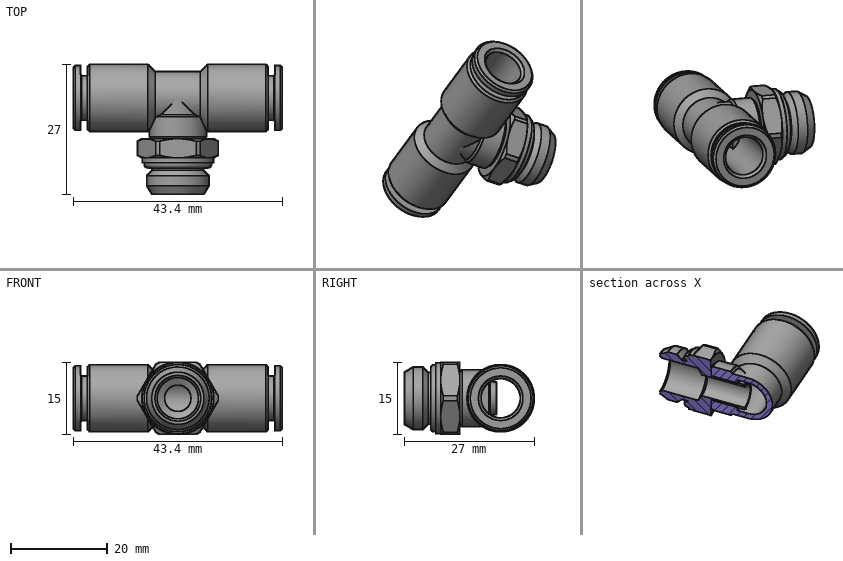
import cadquery as cq
import math


half_length = 21.7
tube_bore_radius = 4.05
tube_mouth_radius = 4.63
core_radius = 5.5
core_half_length = 4.7
sleeve_radius = 7.0
sleeve_inner_x = core_half_length + sleeve_radius - core_radius
sleeve_outer_x = 18.75
sleeve_chamfer = 0.5
collar_radius = 6.75
collar_chamfer = 0.45
collar_thickness = 1.55
collar_back_x = half_length - collar_thickness
collar_neck_radius = 4.65
collar_neck_flare = 0.2

branch_radius = 5.95
branch_step_y = 3.5
branch_straight_y = branch_step_y + branch_radius - core_radius
branch_chamfer = 0.45
branch_end_y = 8.47

floor_y = 2.5

hex_sides = 6
hex_across_flats = 15.0
hex_corner_radius = 8.4
hex_chamfer_angle = math.radians(30)
hex_start_y = branch_end_y
hex_end_y = 12.43
flange_radius = 7.4
flange_end_y = 13.47
seal_radius = 7.0
seal_straight_end_y = 13.74
groove_radius = 5.4
groove_end_y = 15.03
thread_radius = 6.5
thread_start_y = groove_end_y + thread_radius - groove_radius
thread_end_y = 18.17
stud_end_y = 20.0
stud_end_radius = 5.42

stem_radius = 3.17
lip_radius = 3.54
lip_underside_y = floor_y
lip_crest_y = lip_underside_y - (lip_radius - stem_radius)
lip_tip_radius = 3.39
stem_tip_y = 0.78
stem_tip_chamfer = 0.17

passage_radius = 2.74
socket_radius = 4.28
socket_mouth_radius = 4.75
socket_cone_start_y = 10.5
socket_cone_half_angle = math.radians(60)
socket_cone_length = (socket_radius - passage_radius) / math.tan(socket_cone_half_angle)
socket_cone_end_y = socket_cone_start_y + socket_cone_length


def turned_along_x(profile):
    """Revolve (x, radius) points about the X axis."""
    return cq.Workplane("XY").polyline(profile).close().revolve(360, (0, 0, 0), (1, 0, 0))


def turned_along_branch(profile):
    """Revolve (radius, distance towards -Y) points about the Y axis."""
    points = [(radius, -distance) for radius, distance in profile]
    return cq.Workplane("XY").polyline(points).close().revolve(360, (0, 0, 0), (0, 1, 0))


def run_outside():
    """Core with a sleeve and a release collar at each end."""
    half_profile = [
        (0, 0),
        (0, core_radius),
        (core_half_length, core_radius),
        (sleeve_inner_x, sleeve_radius),
        (sleeve_outer_x - sleeve_chamfer, sleeve_radius),
        (sleeve_outer_x, sleeve_radius - sleeve_chamfer),
        (sleeve_outer_x, collar_neck_radius),
        (collar_back_x - collar_neck_flare, collar_neck_radius),
        (collar_back_x, collar_neck_radius + collar_neck_flare),
        (collar_back_x, collar_radius),
        (half_length - collar_chamfer, collar_radius),
        (half_length, collar_radius - collar_chamfer),
        (half_length, 0),
    ]
    right_half = turned_along_x(half_profile)
    return right_half.union(right_half.mirror("YZ"))


def branch_outside():
    """Branch leaving the core at the core radius and stepping out to its own."""
    return turned_along_branch([
        (0, 0),
        (core_radius, 0),
        (core_radius, branch_step_y),
        (branch_radius, branch_straight_y),
        (branch_radius, branch_end_y - branch_chamfer),
        (branch_radius - branch_chamfer, branch_end_y),
        (0, branch_end_y),
    ])


def run_bore():
    """Through bore with chamfered mouths, flat-bottomed over the core."""
    mouth_x = half_length - (tube_mouth_radius - tube_bore_radius)
    bore = turned_along_x([
        (-half_length, 0),
        (-half_length, tube_mouth_radius),
        (-mouth_x, tube_bore_radius),
        (mouth_x, tube_bore_radius),
        (half_length, tube_mouth_radius),
        (half_length, 0),
    ])
    below_floor = cq.Workplane("XY").box(
        2 * core_half_length, sleeve_radius, 2 * sleeve_radius
    ).translate((0, -floor_y - sleeve_radius / 2, 0))
    return bore.cut(below_floor)


def stem_hole():
    """Hole through the floor for the stem, with room above it for the snap lip."""
    return turned_along_branch([
        (0, 0),
        (tube_bore_radius, 0),
        (tube_bore_radius, floor_y),
        (stem_radius, floor_y),
        (stem_radius, branch_end_y),
        (0, branch_end_y),
    ])


def make_tee():
    return run_outside().union(branch_outside()).cut(run_bore()).cut(stem_hole())


def stud_hex():
    """Hexagon with flats at +Z and -Z, its corners rounded off and chamfered."""
    flat_radius = hex_across_flats / 2
    chamfer_length = (hex_corner_radius - flat_radius) * math.tan(hex_chamfer_angle)
    hexagon = (
        cq.Workplane("XZ", origin=(0, -hex_start_y, 0))
        .polygon(hex_sides, hex_across_flats / math.cos(math.pi / hex_sides))
        .extrude(hex_end_y - hex_start_y)
    )
    corner_envelope = turned_along_branch([
        (0, hex_start_y),
        (flat_radius, hex_start_y),
        (hex_corner_radius, hex_start_y + chamfer_length),
        (hex_corner_radius, hex_end_y - chamfer_length),
        (flat_radius, hex_end_y),
        (0, hex_end_y),
    ])
    return hexagon.intersect(corner_envelope)


def stud_stem():
    """Stem ending in a snap lip that hooks over the floor of the tee."""
    return turned_along_branch([
        (0, stem_tip_y),
        (lip_tip_radius - stem_tip_chamfer, stem_tip_y),
        (lip_tip_radius, stem_tip_y + stem_tip_chamfer),
        (lip_radius, lip_crest_y),
        (stem_radius, lip_underside_y),
        (stem_radius, hex_start_y),
        (0, hex_start_y),
    ])


def stud_nose():
    """Flange, seal with a half-round front, relief groove and plain thread."""
    seal_rounding = (seal_radius - groove_radius) / 2
    return (
        cq.Workplane("XY")
        .moveTo(0, -hex_end_y)
        .lineTo(flange_radius, -hex_end_y)
        .lineTo(flange_radius, -flange_end_y)
        .lineTo(seal_radius, -flange_end_y)
        .lineTo(seal_radius, -seal_straight_end_y)
        .threePointArc(
            (seal_radius - seal_rounding, -seal_straight_end_y - seal_rounding),
            (groove_radius, -seal_straight_end_y),
        )
        .lineTo(groove_radius, -groove_end_y)
        .lineTo(thread_radius, -thread_start_y)
        .lineTo(thread_radius, -thread_end_y)
        .lineTo(stud_end_radius, -stud_end_y)
        .lineTo(0, -stud_end_y)
        .close()
        .revolve(360, (0, 0, 0), (0, 1, 0))
    )


def stud_bore():
    """Narrow passage through the stem, opening by a cone into a wide socket."""
    return turned_along_branch([
        (0, stem_tip_y),
        (passage_radius, stem_tip_y),
        (passage_radius, socket_cone_start_y),
        (socket_radius, socket_cone_end_y),
        (socket_radius, stud_end_y - (socket_mouth_radius - socket_radius)),
        (socket_mouth_radius, stud_end_y),
        (0, stud_end_y),
    ])


def make_stud():
    return stud_stem().union(stud_hex()).union(stud_nose()).cut(stud_bore())


tee = make_tee().solids()
stud = make_stud().solids()

result = cq.Compound.makeCompound([tee.val(), stud.val()])